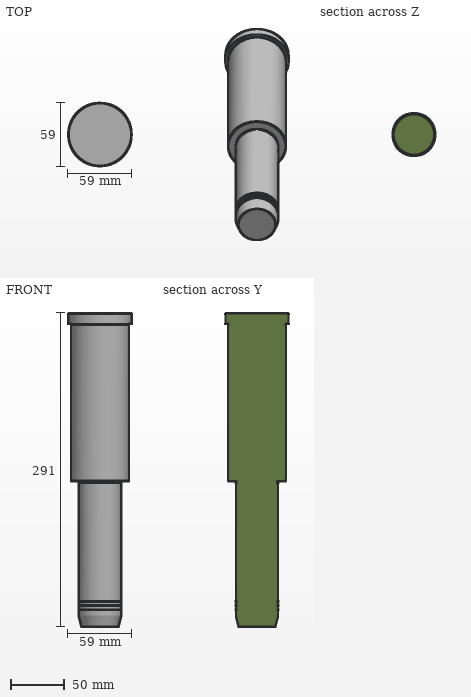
import cadquery as cq

TOTAL_LENGTH = 291.0
HEAD_DIAMETER = 59.0
HEAD_HEIGHT = 10.0
HEAD_CHAMFER = 0.5
BODY_DIAMETER = 54.0
BODY_BOTTOM_Z = 135.0
BODY_CHAMFER = 0.5
PIN_DIAMETER = 40.0

BODY_NECK_DEPTH = 0.3
BODY_NECK_WIDTH = 1.2
PIN_NECK_DEPTH = 1.0
PIN_NECK_WIDTH = 1.7

GROOVE_WIDTH = 1.0
GROOVE_DEPTH = 0.5
LOWEST_GROOVE_Z = 15.5
GROOVE_PITCH = 3.8
GROOVE_COUNT = 3

TIP_HEIGHT = 10.2
TIP_END_DIAMETER = 34.5
TIP_CHAMFER = 0.3

HEAD_RADIUS = HEAD_DIAMETER / 2
BODY_RADIUS = BODY_DIAMETER / 2
PIN_RADIUS = PIN_DIAMETER / 2
TIP_END_RADIUS = TIP_END_DIAMETER / 2
HEAD_BOTTOM_Z = TOTAL_LENGTH - HEAD_HEIGHT


def cylinder(radius, bottom_z, top_z):
    return cq.Workplane("XY").workplane(offset=bottom_z).circle(radius).extrude(top_z - bottom_z)


def ring(outer_radius, depth, bottom_z, width):
    """Ring which removes a groove of the given depth from a cylinder."""
    groove_floor = cylinder(outer_radius - depth, bottom_z, bottom_z + width)
    return cylinder(outer_radius, bottom_z, bottom_z + width).cut(groove_floor)


def make_tip():
    """Truncated cone with a small chamfer around its lower end."""
    return (
        cq.Workplane("XZ")
        .lineTo(TIP_END_RADIUS, 0)
        .lineTo(PIN_RADIUS, TIP_HEIGHT)
        .lineTo(0, TIP_HEIGHT)
        .close()
        .revolve(360, (0, 0), (0, 1))
        .faces("<Z")
        .chamfer(TIP_CHAMFER)
    )


head = cylinder(HEAD_RADIUS, HEAD_BOTTOM_Z, TOTAL_LENGTH).faces(">Z").chamfer(HEAD_CHAMFER)
body = cylinder(BODY_RADIUS, BODY_BOTTOM_Z, HEAD_BOTTOM_Z).faces("<Z").chamfer(BODY_CHAMFER)
pin = cylinder(PIN_RADIUS, TIP_HEIGHT, BODY_BOTTOM_Z)
result = head.union(body).union(pin).union(make_tip())

body_neck_z = HEAD_BOTTOM_Z - BODY_NECK_WIDTH
pin_neck_z = BODY_BOTTOM_Z - PIN_NECK_WIDTH
result = result.cut(ring(BODY_RADIUS, BODY_NECK_DEPTH, body_neck_z, BODY_NECK_WIDTH))
result = result.cut(ring(PIN_RADIUS, PIN_NECK_DEPTH, pin_neck_z, PIN_NECK_WIDTH))

for index in range(GROOVE_COUNT):
    groove_z = LOWEST_GROOVE_Z + index * GROOVE_PITCH
    result = result.cut(ring(PIN_RADIUS, GROOVE_DEPTH, groove_z, GROOVE_WIDTH))